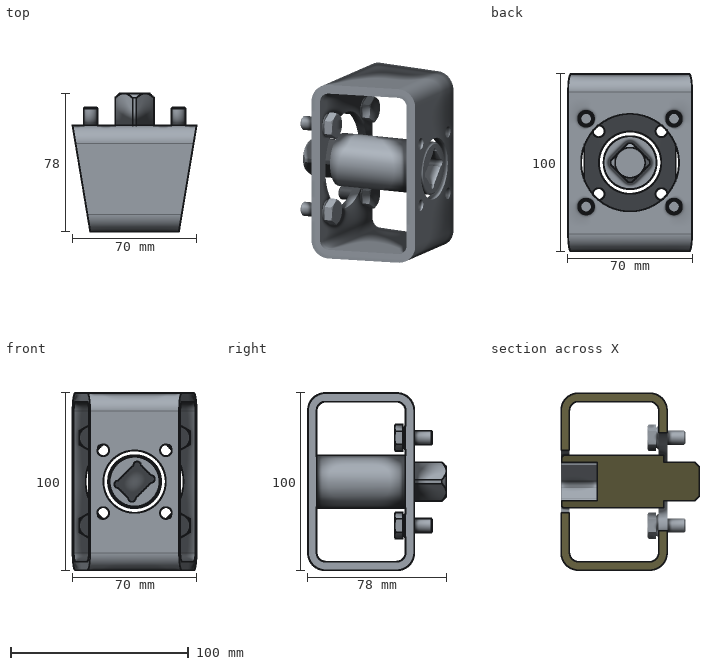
import cadquery as cq
import math

HEIGHT = 100
DEPTH = 60
BACK_WIDTH = 70
FRONT_WIDTH = 50
WALL = 5
OUTER_RADIUS = 10
INNER_RADIUS = OUTER_RADIUS - WALL
BACK_OPENING_DIAMETER = 55
FRONT_OPENING_DIAMETER = 35
BACK_HOLE_DIAMETER = 9
BACK_BOLT_CIRCLE = 70
FRONT_HOLE_DIAMETER = 6.5
FRONT_BOLT_CIRCLE = 50

SHAFT_DIAMETER = 30
SHAFT_RECESS = 0.5
SHAFT_BODY_LENGTH = 57.5
SHAFT_CHAMFER = 1
SQUARE_LENGTH = 20
SQUARE_SIDE = 17
SQUARE_CORNER_DIAMETER = 22
SQUARE_CHAMFER = 2.5
SOCKET_WIDTH = 14
SOCKET_LENGTH = 18.2
SOCKET_RELIEF_RADIUS = 2.1
SOCKET_DEPTH = 20
TILT = 45

WASHER_DIAMETER = 13
WASHER_BORE = 8.4
WASHER_THICKNESS = 0.8
WASHER_BEVEL_HEIGHT = 0.4

BOLT_DIAMETER = 8
BOLT_LENGTH = 16
BOLT_CHAMFER = 0.8
BEARING_DIAMETER = 11.6
BEARING_THICKNESS = 0.6
HEAD_SIDES = 6
HEAD_TURN = 180 / HEAD_SIDES
HEAD_ACROSS_FLATS = 13
HEAD_HEIGHT = 5.3
HEAD_TOP_DIAMETER = HEAD_ACROSS_FLATS
HEAD_BEVEL_ANGLE = 30

BACK_INNER_FACE = DEPTH - WALL
SHAFT_FRONT = SHAFT_RECESS
SQUARE_START = SHAFT_FRONT + SHAFT_BODY_LENGTH
HEAD_BEARING_FACE = BACK_INNER_FACE - WASHER_THICKNESS


def cross_plane(y):
    """Plane across the Y axis at the given depth, with its normal towards +Y."""
    return cq.Plane(origin=(0, y, 0), xDir=(1, 0, 0), normal=(0, 1, 0))


def cylinder(diameter, y_start, y_end):
    """Cylinder on the Y axis between two depths."""
    return cq.Workplane(cross_plane(y_start)).circle(diameter / 2).extrude(y_end - y_start)


def corner_points(bolt_circle):
    """X and Z of the four holes on the diagonals of a bolt circle."""
    offset = bolt_circle / 2 / math.sqrt(2)
    return [(x, z) for x in (-offset, offset) for z in (-offset, offset)]


def rounded_box(depth, height, radius):
    """Box spanning the bracket's width, with rounded edges along X."""
    return (
        cq.Workplane("XY")
        .box(BACK_WIDTH, depth, height)
        .edges("|X")
        .fillet(radius)
        .translate((0, DEPTH / 2, 0))
    )


def make_bracket():
    tube = rounded_box(DEPTH, HEIGHT, OUTER_RADIUS)
    tube = tube.cut(rounded_box(DEPTH - 2 * WALL, HEIGHT - 2 * WALL, INNER_RADIUS))

    taper = (
        cq.Workplane("XY")
        .polyline([
            (-FRONT_WIDTH / 2, 0),
            (FRONT_WIDTH / 2, 0),
            (BACK_WIDTH / 2, DEPTH),
            (-BACK_WIDTH / 2, DEPTH),
        ])
        .close()
        .extrude(HEIGHT / 2, both=True)
    )
    bracket = tube.intersect(taper)

    bracket = bracket.cut(cylinder(FRONT_OPENING_DIAMETER, 0, WALL))
    bracket = bracket.cut(cylinder(BACK_OPENING_DIAMETER, BACK_INNER_FACE, DEPTH))
    for x, z in corner_points(FRONT_BOLT_CIRCLE):
        bracket = bracket.cut(cylinder(FRONT_HOLE_DIAMETER, 0, WALL).translate((x, 0, z)))
    for x, z in corner_points(BACK_BOLT_CIRCLE):
        hole = cylinder(BACK_HOLE_DIAMETER, BACK_INNER_FACE, DEPTH)
        bracket = bracket.cut(hole.translate((x, 0, z)))
    return bracket


def make_drive_square():
    """Tilted square with its corners turned round and its end chamfered."""
    end = SQUARE_START + SQUARE_LENGTH
    turned = cylinder(SQUARE_CORNER_DIAMETER, SQUARE_START, end).faces(">Y").chamfer(SQUARE_CHAMFER)
    square = (
        cq.Workplane(cross_plane(SQUARE_START))
        .rect(SQUARE_SIDE, SQUARE_SIDE)
        .extrude(SQUARE_LENGTH)
        .rotate((0, 0, 0), (0, 1, 0), TILT)
    )
    return turned.intersect(square)


def make_socket():
    """Tilted rectangular pocket with a round relief that reaches each corner."""
    mouth = cq.Workplane(cross_plane(SHAFT_FRONT))
    pocket = mouth.rect(SOCKET_LENGTH, SOCKET_WIDTH).extrude(SOCKET_DEPTH)
    inset = SOCKET_RELIEF_RADIUS * math.sqrt(2)
    reliefs = (
        mouth.rect(SOCKET_LENGTH - inset, SOCKET_WIDTH - inset, forConstruction=True)
        .vertices()
        .circle(SOCKET_RELIEF_RADIUS)
        .extrude(SOCKET_DEPTH)
    )
    return pocket.union(reliefs).rotate((0, 0, 0), (0, 1, 0), -TILT)


def make_shaft():
    body = cylinder(SHAFT_DIAMETER, SHAFT_FRONT, SQUARE_START)
    body = body.faces("<Y").chamfer(SHAFT_CHAMFER)
    return body.union(make_drive_square()).cut(make_socket())


def make_washer():
    """Washer on the back plate's inner face, bevelled down to the bolt's bearing face."""
    bevel_width = (WASHER_DIAMETER - BEARING_DIAMETER) / 2
    disc = (
        cylinder(WASHER_DIAMETER, HEAD_BEARING_FACE, BACK_INNER_FACE)
        .faces("<Y")
        .edges()
        .chamfer(WASHER_BEVEL_HEIGHT, bevel_width)
    )
    return disc.cut(cylinder(WASHER_BORE, HEAD_BEARING_FACE, BACK_INNER_FACE))


def make_bolt():
    head_top = HEAD_BEARING_FACE - HEAD_HEIGHT
    head_base = HEAD_BEARING_FACE - BEARING_THICKNESS
    across_corners = HEAD_ACROSS_FLATS / math.cos(math.pi / HEAD_SIDES)
    hexagon = (
        cq.Workplane(cross_plane(head_top))
        .polygon(HEAD_SIDES, across_corners)
        .extrude(head_base - head_top)
        .rotate((0, 0, 0), (0, 1, 0), HEAD_TURN)
    )

    bevel_width = (across_corners - HEAD_TOP_DIAMETER) / 2
    bevel_height = bevel_width * math.tan(math.radians(HEAD_BEVEL_ANGLE))
    bevelled = (
        cq.Workplane("XY")
        .polyline([
            (0, head_top),
            (HEAD_TOP_DIAMETER / 2, head_top),
            (across_corners / 2, head_top + bevel_height),
            (across_corners / 2, head_base),
            (0, head_base),
        ])
        .close()
        .revolve(360, (0, 0, 0), (0, 1, 0))
    )

    bearing = cylinder(BEARING_DIAMETER, head_base, HEAD_BEARING_FACE)
    shank_end = HEAD_BEARING_FACE + BOLT_LENGTH
    shank = cylinder(BOLT_DIAMETER, HEAD_BEARING_FACE, shank_end).faces(">Y").chamfer(BOLT_CHAMFER)
    return hexagon.intersect(bevelled).union(bearing).union(shank)


bracket = make_bracket()
shaft = make_shaft()
washers = [make_washer().translate((x, 0, z)) for x, z in corner_points(BACK_BOLT_CIRCLE)]
bolts = [make_bolt().translate((x, 0, z)) for x, z in corner_points(BACK_BOLT_CIRCLE)]

result = cq.Compound.makeCompound([
    bracket.val(),
    shaft.val(),
    *[washer.val() for washer in washers],
    *[bolt.val() for bolt in bolts],
])